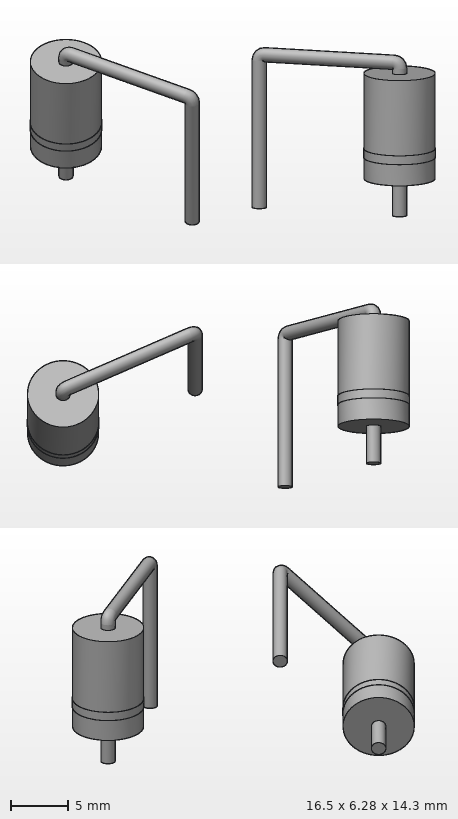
import cadquery as cq

body_diameter = 6.23
body_height = 9.39
band_diameter = 6.28
band_bottom = 1.9
band_height = 0.79

lead_diameter = 1.27
overall_length = 16.47
lead_pitch = overall_length - band_diameter / 2 - lead_diameter / 2
lead_bottom = -3.3
overall_height = 14.26
bend_radius = 0.48
bend_angle = 90

lead_radius = lead_diameter / 2
lead_top = lead_bottom + overall_height
crossbar_z = lead_top - lead_radius
bend_z = crossbar_z - bend_radius


def cylinder(diameter, height, x, bottom):
    """Upright cylinder centred on the lead plane."""
    return cq.Workplane("XY", origin=(x, 0, bottom)).circle(diameter / 2).extrude(height)


def elbow(lead_x, inward):
    """Quarter bend; inward is the X direction from the lead to the crossbar."""
    pivot_x = lead_x + inward * bend_radius
    outer_radius = bend_radius + lead_radius
    half_chord = (lead_radius**2 - bend_radius**2) ** 0.5
    return (
        cq.Workplane("XY", origin=(pivot_x, 0, bend_z))
        .moveTo(0, -half_chord)
        .threePointArc((-inward * outer_radius, 0), (0, half_chord))
        .close()
        .revolve(bend_angle, (0, 0), (0, inward))
    )


def crossbar():
    """Horizontal run between the two bends."""
    return (
        cq.Workplane("YZ", origin=(bend_radius, 0, crossbar_z))
        .circle(lead_radius)
        .extrude(lead_pitch - 2 * bend_radius)
    )


body = cylinder(body_diameter, body_height, 0, 0)
band = cylinder(band_diameter, band_height, 0, band_bottom)
result = body.union(band)

for lead_x, inward in ((0, 1), (lead_pitch, -1)):
    lead = cylinder(lead_diameter, bend_z - lead_bottom, lead_x, lead_bottom)
    result = result.union(lead).union(elbow(lead_x, inward))

result = result.union(crossbar())